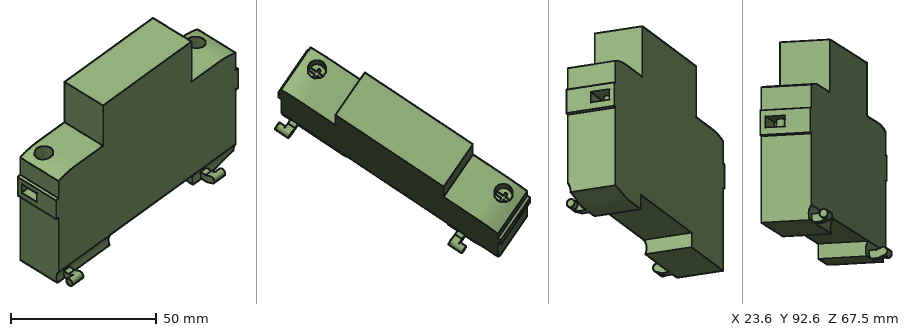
import cadquery as cq
import math

width = 18.1
total_length = 92.6
clip_half = total_length / 2
body_half = 45.1
tower_half = 22.5
height = 67.5
shoulder_z = 48.9
shoulder_edge_z = 47.4
shoulder_arc_y = 36.5
clip_bottom_z = 30.3
clip_top_z = 39.45
clip_bevel = 0.3

slot_front_y = -18.5
slot_rear_y = 23.9
slot_z = 5.3
slope_start_y = 35.0
slope_end_z = 1.85

screw_x = 5.4
screw_y = 38.8
well_radius = 3.2
well_floor_z = 40.7
long_slot_width = 1.1
short_slot_width = 0.9
short_slot_length = 3.5
drive_depth = 0.9
shank_radius = 1.71
pocket_width = 7.0
pocket_bottom_z = 33.1
pocket_height = 3.9
pocket_depth = 11.1

groove_top = (width, slot_z)
groove_middle = (17.0, 2.3)
groove_bottom = (17.5, 0)
pin_radius = 1.5
pin_x = 22.1
pin_z = 2.3
arm_angle = math.radians(21)
arm_root_x = 15.7
arm_height = 2.9
arm_length = 3.0
pin_length = 5.6
front_hook_y = -38.4
rear_hook_y = 28.15


def shoulder_arc_middle():
    """Midpoint of the end arc, which is tangent to the flat shoulder."""
    run = body_half - shoulder_arc_y
    drop = shoulder_z - shoulder_edge_z
    radius = (run**2 + drop**2) / (2 * drop)
    half_sweep = math.asin(run / radius) / 2
    mid_y = shoulder_arc_y + radius * math.sin(half_sweep)
    mid_z = shoulder_z - radius * (1 - math.cos(half_sweep))
    return mid_y, mid_z


def make_housing():
    mid_y, mid_z = shoulder_arc_middle()
    return (
        cq.Workplane("YZ")
        .moveTo(-body_half, 0)
        .lineTo(slot_front_y, 0)
        .lineTo(slot_front_y, slot_z)
        .lineTo(slot_rear_y, slot_z)
        .lineTo(slot_rear_y, 0)
        .lineTo(slope_start_y, 0)
        .lineTo(body_half, slope_end_z)
        .lineTo(body_half, clip_bottom_z)
        .lineTo(clip_half, clip_bottom_z + clip_bevel)
        .lineTo(clip_half, clip_top_z - clip_bevel)
        .lineTo(body_half, clip_top_z)
        .lineTo(body_half, shoulder_edge_z)
        .threePointArc((mid_y, mid_z), (shoulder_arc_y, shoulder_z))
        .lineTo(tower_half, shoulder_z)
        .lineTo(tower_half, height)
        .lineTo(-tower_half, height)
        .lineTo(-tower_half, shoulder_z)
        .lineTo(-shoulder_arc_y, shoulder_z)
        .threePointArc((-mid_y, mid_z), (-body_half, shoulder_edge_z))
        .lineTo(-body_half, clip_top_z)
        .lineTo(-clip_half, clip_top_z - clip_bevel)
        .lineTo(-clip_half, clip_bottom_z + clip_bevel)
        .lineTo(-body_half, clip_bottom_z)
        .close()
        .extrude(width)
    )


def make_terminal_cut(end):
    """Screw well, cross drive and wire pocket; end is -1 for front, +1 for rear."""
    screw = cq.Workplane("XY").center(screw_x, end * screw_y)
    well = screw.circle(well_radius).extrude(height - well_floor_z)
    drive = screw.rect(long_slot_width, 2 * well_radius).extrude(drive_depth)
    drive = drive.union(screw.rect(short_slot_length, short_slot_width).extrude(drive_depth))
    drive = drive.intersect(screw.circle(well_radius).extrude(drive_depth))
    pocket = (
        cq.Workplane("XY")
        .center(screw_x, end * (clip_half - pocket_depth / 2))
        .rect(pocket_width, pocket_depth)
        .extrude(pocket_height)
    )
    shank = screw.circle(shank_radius).extrude(pocket_height)
    pocket = pocket.cut(shank).translate((0, 0, pocket_bottom_z))
    return (
        well.translate((0, 0, well_floor_z))
        .union(drive.translate((0, 0, well_floor_z - drive_depth)))
        .union(pocket)
    )


def make_side_groove():
    return (
        cq.Workplane("XZ", origin=(0, clip_half, 0))
        .moveTo(*groove_top)
        .threePointArc(groove_middle, groove_bottom)
        .lineTo(width, 0)
        .close()
        .extrude(total_length)
    )


def make_hook(end, inner_y):
    """Bent arm tangent to a round pin; both grow outward from inner_y."""
    offset_x = pin_radius * math.sin(arm_angle)
    offset_z = pin_radius * math.cos(arm_angle)
    top_x = pin_x - offset_x
    top_z = pin_z + offset_z
    bottom_x = pin_x + offset_x
    bottom_z = pin_z - offset_z
    top_bend_x = top_x - (top_z - arm_height) / math.tan(arm_angle)
    bottom_bend_x = bottom_x - bottom_z / math.tan(arm_angle)
    plane = cq.Workplane("XZ", origin=(0, inner_y, 0))
    arm = (
        plane.moveTo(arm_root_x, 0)
        .lineTo(bottom_bend_x, 0)
        .lineTo(bottom_x, bottom_z)
        .lineTo(top_x, top_z)
        .lineTo(top_bend_x, arm_height)
        .lineTo(arm_root_x, arm_height)
        .close()
        .extrude(-end * arm_length)
    )
    pin = plane.center(pin_x, pin_z).circle(pin_radius).extrude(-end * pin_length)
    return arm.union(pin)


result = make_housing().cut(make_side_groove())
for end, hook_y in ((-1, front_hook_y), (1, rear_hook_y)):
    result = result.cut(make_terminal_cut(end)).union(make_hook(end, hook_y))